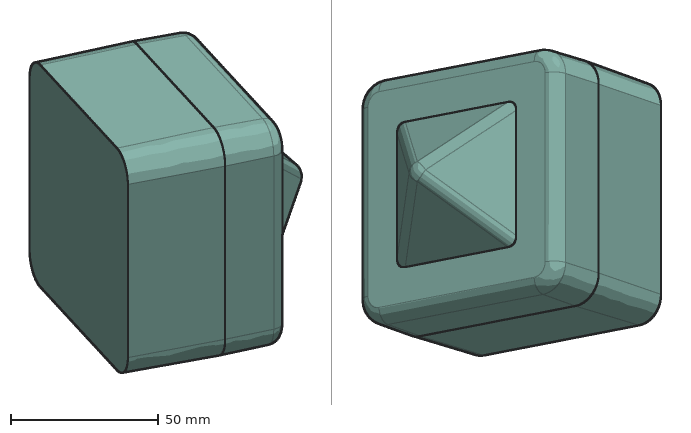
import cadquery as cq
import math

parting_width = 86.4
parting_corner_radius = 10.0
draft_angle = 1.0
base_depth = 35.7
lid_depth = 23.0
lid_rim_radius = 5.0

overall_depth = 82.14
ridge_radius = 5.0
spike_rounded_height = overall_depth - base_depth - lid_depth
spike_sharp_height = spike_rounded_height + ridge_radius * (math.sqrt(2) - 1)
spike_half_width = spike_sharp_height


def drafted_block(depth):
    """Rounded square on the parting plane, narrowing towards its far end; a negative depth draws to -Y."""
    block_sketch = (
        cq.Sketch()
        .rect(parting_width, parting_width)
        .vertices()
        .fillet(parting_corner_radius)
    )
    return cq.Workplane("XZ").placeSketch(block_sketch).extrude(-depth, taper=draft_angle)


def make_base():
    """Back part of the box, with a flat, sharp-edged back."""
    return drafted_block(-base_depth)


def make_lid():
    """Front part of the box, with its outer rim rounded."""
    return drafted_block(lid_depth).faces(">Y").edges().fillet(lid_rim_radius).solids()


def gable(plane):
    """Triangular prism whose ridge runs across the box at the sharp height of the spike."""
    return (
        cq.Workplane(plane)
        .moveTo(-spike_half_width, 0)
        .lineTo(spike_half_width, 0)
        .lineTo(0, spike_sharp_height)
        .close()
        .extrude(spike_half_width, both=True)
    )


def make_spike():
    """Pyramid standing on the lid, where two crossed gables meet, with its ridges and tip rounded."""
    across_x = gable(cq.Plane(origin=(0, lid_depth, 0), xDir=(1, 0, 0), normal=(0, 0, 1)))
    across_z = gable(cq.Plane(origin=(0, lid_depth, 0), xDir=(0, 0, -1), normal=(1, 0, 0)))
    pyramid = across_x.intersect(across_z)
    return pyramid.edges("not #Y").fillet(ridge_radius).solids()


base = make_base()
lid = make_lid()
spike = make_spike()

result = cq.Compound.makeCompound([base.val(), lid.val(), spike.val()])